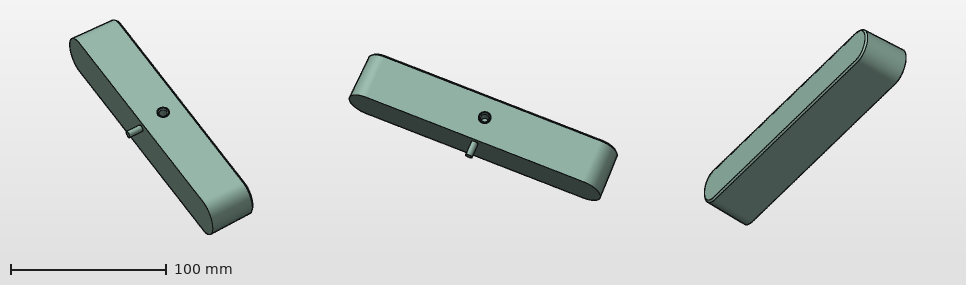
import cadquery as cq
import math

length = 174.7
height = 29.7
overall_depth = 41.5
body_depth = 31.6
end_round = 11.9
draft_angle = 1.7
back_chamfer = 1.2

pin_diameter = 4.5
pin_length = overall_depth - body_depth
pin_height = 8.9

hole_diameter = 5.2
countersink_diameter = 6.8
spotface_diameter = 8.0
spotface_depth = 0.26
hole_depth = 8.7
hole_setback = 16.6


def make_section(inset, y):
    """Flat-sided outline with elliptical ends, inset evenly all round."""
    half_flat = length / 2 - end_round
    half_height = height / 2 - inset
    end_radius = end_round - inset
    return (
        cq.Workplane("XZ", origin=(0, y, 0))
        .moveTo(-half_flat, -half_height)
        .lineTo(half_flat, -half_height)
        .ellipseArc(end_radius, half_height, -90, 90, startAtCurrent=True)
        .lineTo(-half_flat, half_height)
        .ellipseArc(end_radius, half_height, 90, 270, startAtCurrent=True)
        .close()
        .wires()
        .val()
    )


def loft(front_inset, front_y, back_inset, back_y):
    front = make_section(front_inset, front_y)
    back = make_section(back_inset, back_y)
    return cq.Solid.makeLoft([front, back], True)


def make_body():
    rim_y = body_depth - back_chamfer
    rim_inset = rim_y * math.tan(math.radians(draft_angle))
    sides = loft(0, 0, rim_inset, rim_y)
    back = loft(rim_inset, rim_y, rim_inset + back_chamfer, body_depth)
    return cq.Workplane(sides).union(cq.Workplane(back))


def make_pin():
    return (
        cq.Workplane("XZ", origin=(0, 0, pin_height))
        .circle(pin_diameter / 2)
        .extrude(pin_length)
    )


def make_hole():
    hole_radius = hole_diameter / 2
    sink_radius = countersink_diameter / 2
    spotface_radius = spotface_diameter / 2
    sink_bottom = -spotface_depth - (sink_radius - hole_radius)
    slope = math.tan(math.radians(draft_angle))
    top = height / 2 - hole_setback * slope
    clearance = 2 * spotface_radius * slope
    return (
        cq.Workplane("XZ", origin=(0, hole_setback, top))
        .moveTo(0, -hole_depth)
        .lineTo(hole_radius, -hole_depth)
        .lineTo(hole_radius, sink_bottom)
        .lineTo(sink_radius, -spotface_depth)
        .lineTo(spotface_radius, -spotface_depth)
        .lineTo(spotface_radius, clearance)
        .lineTo(0, clearance)
        .close()
        .revolve(360, (0, 0), (0, 1))
    )


result = make_body().union(make_pin()).cut(make_hole())